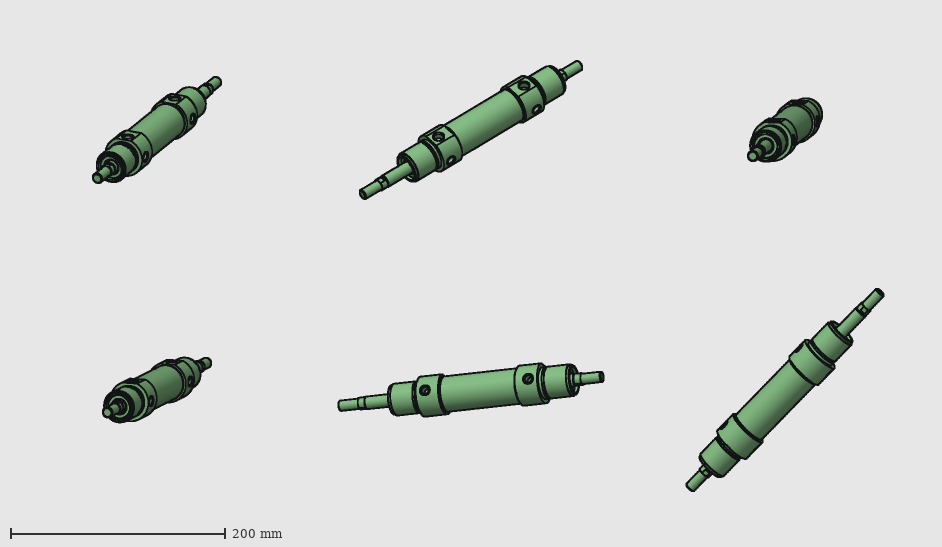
import cadquery as cq


rod_tip_y = 131.0
front_nose_y = -103.0
rear_nose_y = 78.0

rod_dia = 12.0
thread_dia = 10.0
thread_length = 20.0
thread_tip_chamfer = 0.92
wrench_dia = 11.5
wrench_flat_width = 10.2
wrench_flat_length = 5.0
wrench_length = 6.5
wrench_taper_length = 0.8

cover_length = 53.7
nose_dia = 28.0
nose_length = 3.0
nose_chamfer = 0.5
boss_dia = 30.0
collar_dia = 38.0
collar_length = 22.0
collar_height = 36.5
collar_flat_height = collar_height - collar_dia / 2
spigot_dia = 33.5
spigot_length = 1.5
relief_dia = 28.0
relief_width = 2.0
relief_to_collar = 3.1
collar_start = cover_length - spigot_length - collar_length
relief_end = collar_start - relief_to_collar
relief_start = relief_end - relief_width

recess_mouth_dia = 23.5
recess_floor_dia = 22.0
recess_depth = 3.1
seat_mouth_dia = 15.2
seat_floor_dia = 13.0
seat_depth = 1.5

hole_to_collar_face = 9.0
hole_y = collar_start + hole_to_collar_face
port_mouth_dia = 11.0
port_dia = 8.6
port_countersink_depth = 1.0
port_depth = 6.8
passage_dia = 3.0
mount_face_dia = 10.0
mount_face_height = 18.0
mount_hole_dia = 6.8
mount_hole_depth = 7.5

barrel_dia = spigot_dia
barrel_front_y = front_nose_y + cover_length
barrel_rear_y = rear_nose_y - cover_length
rod_joint_y = (barrel_front_y + barrel_rear_y) / 2


def turned(*profile):
    """Solid of revolution about Y, from (diameter, y) points; the axis closes the outline."""
    points = [(dia / 2, y) for dia, y in profile]
    outline = [(0, points[0][1]), *points, (0, points[-1][1])]
    return cq.Workplane("XY").polyline(outline).close().revolve(360, (0, 0, 0), (0, 1, 0))


def wrench_flat_cut():
    """Slab above the upper wrench flat, next to the thread shoulder."""
    slab = cq.Workplane("XY").box(rod_dia, wrench_flat_length, rod_dia, centered=(True, False, False))
    return slab.translate((0, thread_length, wrench_flat_width / 2))


def make_rod(length):
    taper_start = thread_length + wrench_length
    rod = turned(
        (thread_dia - 2 * thread_tip_chamfer, 0),
        (thread_dia, thread_tip_chamfer),
        (thread_dia, thread_length),
        (wrench_dia, thread_length),
        (wrench_dia, taper_start),
        (rod_dia, taper_start + wrench_taper_length),
        (rod_dia, length),
    )
    upper_flat = wrench_flat_cut()
    return rod.cut(upper_flat).cut(upper_flat.mirror("XY"))


def cover_blank():
    collar_end = collar_start + collar_length
    return turned(
        (nose_dia - 2 * nose_chamfer, 0),
        (nose_dia, nose_chamfer),
        (nose_dia, nose_length),
        (boss_dia, nose_length),
        (boss_dia, relief_start),
        (relief_dia, relief_start),
        (relief_dia, relief_end),
        (boss_dia, relief_end),
        (boss_dia, collar_start),
        (collar_dia, collar_start),
        (collar_dia, collar_end),
        (spigot_dia, collar_end),
        (spigot_dia, cover_length),
    )


def rod_bore_cut():
    """Rod bore with the stepped, tapered recess at the nose."""
    return turned(
        (recess_mouth_dia, 0),
        (recess_floor_dia, recess_depth),
        (seat_mouth_dia, recess_depth),
        (seat_floor_dia, recess_depth + seat_depth),
        (rod_dia, recess_depth + seat_depth),
        (rod_dia, cover_length),
    )


def collar_flat_cut():
    slab = cq.Workplane("XY").box(collar_dia, collar_length, collar_dia, centered=(True, False, False))
    return slab.translate((0, collar_start, collar_flat_height))


def port_cut():
    """Countersunk port from the collar flat, with a small passage on to the rod bore."""
    top = cq.Workplane("XY", origin=(0, hole_y, collar_flat_height))
    countersink = (
        top.circle(port_mouth_dia / 2)
        .workplane(offset=-port_countersink_depth)
        .circle(port_dia / 2)
        .loft()
    )
    port = top.circle(port_dia / 2).extrude(-port_depth)
    passage = top.circle(passage_dia / 2).extrude(-collar_flat_height)
    return countersink.union(port).union(passage)


def mount_hole_cut():
    """Blind hole with a shallow spot face, on the +X side of the collar."""
    face = cq.Workplane("YZ", origin=(mount_face_height, hole_y, 0))
    spot_face = face.circle(mount_face_dia / 2).extrude(collar_dia / 2 - mount_face_height)
    hole = face.circle(mount_hole_dia / 2).extrude(-mount_hole_depth)
    return spot_face.union(hole)


def make_cover():
    cover = cover_blank().cut(rod_bore_cut()).cut(collar_flat_cut()).cut(port_cut())
    mount_hole = mount_hole_cut()
    return cover.cut(mount_hole).cut(mount_hole.mirror("YZ"))


def make_barrel():
    tube = turned((barrel_dia, barrel_front_y), (barrel_dia, barrel_rear_y))
    bore = turned((rod_dia, barrel_front_y), (rod_dia, barrel_rear_y))
    return tube.cut(bore)


def at_front(body, outer_end_y):
    return body.translate((0, outer_end_y, 0))


def at_rear(body, outer_end_y):
    return body.mirror("XZ").translate((0, outer_end_y, 0))


barrel = make_barrel()
covers = [at_front(make_cover(), front_nose_y), at_rear(make_cover(), rear_nose_y)]
rods = [
    at_front(make_rod(rod_joint_y + rod_tip_y), -rod_tip_y),
    at_rear(make_rod(rod_tip_y - rod_joint_y), rod_tip_y),
]

result = cq.Compound.makeCompound([body.val() for body in [barrel, *covers, *rods]])